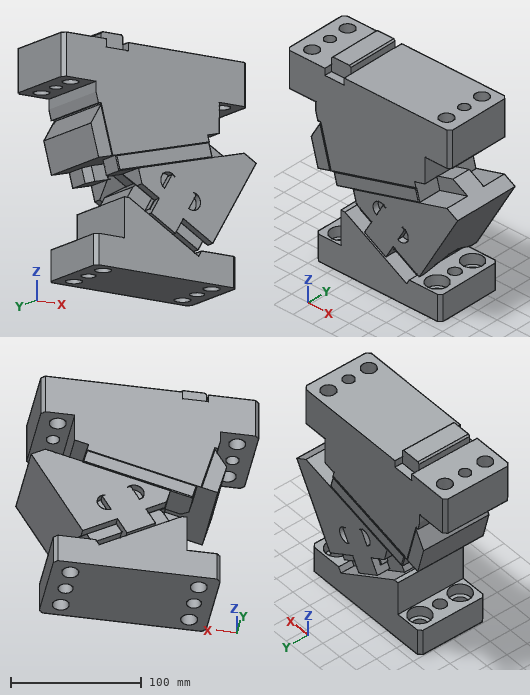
import cadquery as cq
import math


DEPTH = 65.0
HALF_DEPTH = DEPTH / 2
CORNER_CHAMFER = 3.0
HOLE_INSET = 15.0
SCREW_Y = 20.0
GUIDE_ANGLE = 15.0
RAMP_ANGLE = 30.0
EDGE_BREAK = 0.8

BASE_LENGTH = 130.0
BASE_HEIGHT = 25.0
BLOCK_X = 26.2
CREST_HEIGHT = 57.4
RAMP_X, RAMP_Z = 34.1, 55.3
RAMP_LENGTH = 70.0
STEM_HALF_WIDTH = 19.5
HEAD_HALF_WIDTH = 25.7
HEAD_UNDERSIDE = 8.0
HEAD_SIDE_TOP = 16.9
RIDGE_HALF_WIDTH = 5.2
ROOF_ANGLE = 30.0
ROOF_SLOPE = math.tan(math.radians(ROOF_ANGLE))
RIDGE_HEIGHT = HEAD_SIDE_TOP + (HEAD_HALF_WIDTH - RIDGE_HALF_WIDTH) * ROOF_SLOPE
LEAD_IN_START = 17.5
LEAD_IN_ANGLE = 25.0
DRIVER_SCREW_DIA = 13.0
DRIVER_COUNTERBORE_DIA = 20.0
DRIVER_COUNTERBORE_DEPTH = 10.0
DRIVER_DOWEL_DIA = 11.5

HOLDER_X = -30.0
HOLDER_LENGTH = 169.7
HOLDER_TOP = 180.0
FLANGE_BOTTOM = 145.0
NECK_LEFT, NECK_RIGHT = 0.2, 113.8
GUIDE_X, GUIDE_Z = 15.5, 88.5
NECK_FACE_HEIGHT = 41.8
NECK_LEDGE = 2.5
NECK_STEP = 5.5
HOLDER_SCREW_DIA = 13.0
HOLDER_DOWEL_DIA = 10.1
STOP_THICKNESS = 13.5
STOP_OUTER_HEIGHT = 27.2
PLATE_START = 3.0
PLATE_LENGTH = 89.0
PLATE_END = PLATE_START + PLATE_LENGTH
PLATE_THICKNESS = 12.4
PLATE_LEAD_CHAMFER = 5.5
KEY_X = 9.8
KEY_WIDTH = 20.0
KEY_LENGTH = 50.2
KEY_BOTTOM = 173.5
KEY_TOP = 187.5
KEY_CHAMFER = 1.5

CORE_HALF_WIDTH = 9.2
SLIDE_END = 21.2
SLIDE_FACE = 75.2
SLIDE_TOP = 97.0
TONGUE_START, TONGUE_END = 18.2, 43.9
TONGUE_TOP = 40.7
TONGUE_CLEARANCE = 2.0
LIP_HALF_GAP = 20.2
TONGUE_THICKNESS = 5.8
POCKET_RADIUS = 7.1
POCKET_HEIGHT = 34.1


def guide_point(along, above):
    """X and Z of a point in the guide frame."""
    a = math.radians(GUIDE_ANGLE)
    return (GUIDE_X + along * math.cos(a) - above * math.sin(a),
            GUIDE_Z + along * math.sin(a) + above * math.cos(a))


def ramp_point(along, above):
    """X and Z of a point in the ramp frame."""
    a = math.radians(RAMP_ANGLE)
    return (RAMP_X + along * math.cos(a) + above * math.sin(a),
            RAMP_Z - along * math.sin(a) + above * math.cos(a))


def ramp_coordinates(x, z):
    """Distances along and above the ramp of a point given by X and Z."""
    a = math.radians(RAMP_ANGLE)
    dx, dz = x - RAMP_X, z - RAMP_Z
    return dx * math.cos(a) - dz * math.sin(a), dx * math.sin(a) + dz * math.cos(a)


def slab(points, y_min, y_max):
    """Outline in X and Z, extruded from y_min to y_max."""
    return cq.Workplane("XZ", origin=(0, y_min, 0)).polyline(points).close().extrude(y_min - y_max)


def full_slab(points):
    return slab(points, -HALF_DEPTH, HALF_DEPTH)


def ramp_prism(section, start, end):
    """Section in Y and height above the ramp, extruded along the ramp."""
    a = math.radians(RAMP_ANGLE)
    x, z = ramp_point(start, 0)
    plane = cq.Plane(origin=(x, 0, z), xDir=(0, 1, 0), normal=(math.cos(a), 0, -math.sin(a)))
    return cq.Workplane(plane).polyline(section).close().extrude(end - start)


def flange(x, length, bottom, top):
    """Full-depth block with chamfered upright corners."""
    return (cq.Workplane("XY", origin=(x + length / 2, 0, bottom))
            .rect(length, DEPTH)
            .extrude(top - bottom)
            .edges("|Z")
            .chamfer(CORNER_CHAMFER))


def flange_holes(x, length, top):
    """Workplane on a flange top with its screw places, and one with its dowel places."""
    ends = (x + HOLE_INSET, x + length - HOLE_INSET)
    top_plane = cq.Workplane("XY", origin=(0, 0, top))
    screws = top_plane.pushPoints([(end, side * SCREW_Y) for end in ends for side in (-1, 1)])
    dowels = top_plane.pushPoints([(end, 0) for end in ends])
    return screws, dowels


def roof_height(y):
    """Height of the rail roof above the ramp, beside the flat ridge."""
    return HEAD_SIDE_TOP + (HEAD_HALF_WIDTH - y) * ROOF_SLOPE


def mirrored(half_section):
    """Section made of the given +Y points and their mirror images."""
    return half_section + [(-y, height) for y, height in reversed(half_section)]


def make_rail():
    stem_section = mirrored([
        (STEM_HALF_WIDTH, 0),
        (STEM_HALF_WIDTH, roof_height(STEM_HALF_WIDTH)),
        (RIDGE_HALF_WIDTH, RIDGE_HEIGHT),
    ])
    head_section = mirrored([
        (HEAD_HALF_WIDTH, HEAD_UNDERSIDE),
        (HEAD_HALF_WIDTH, HEAD_SIDE_TOP),
        (RIDGE_HALF_WIDTH, RIDGE_HEIGHT),
    ])
    stem = ramp_prism(stem_section, 0, RAMP_LENGTH)
    head = ramp_prism(head_section, TONGUE_START, RAMP_LENGTH)
    lead_in_rise = RIDGE_HEIGHT - LEAD_IN_START
    lead_in = full_slab([
        ramp_point(0, LEAD_IN_START),
        ramp_point(0, RIDGE_HEIGHT),
        ramp_point(lead_in_rise * math.tan(math.radians(LEAD_IN_ANGLE)), RIDGE_HEIGHT),
    ])
    return stem.union(head).cut(lead_in)


def make_driver():
    base = flange(0, BASE_LENGTH, 0, BASE_HEIGHT)
    a = math.radians(RAMP_ANGLE)
    crest_x = RAMP_X - (CREST_HEIGHT - RAMP_Z) / math.tan(a)
    ramp_end = ramp_point(RAMP_LENGTH, 0)
    wall_height = (BASE_HEIGHT - ramp_end[1]) / math.cos(a)
    wall_top = ramp_point(RAMP_LENGTH, wall_height)
    block = full_slab([
        (BLOCK_X, 0),
        (BLOCK_X, CREST_HEIGHT),
        (crest_x, CREST_HEIGHT),
        ramp_end,
        (ramp_end[0], 0),
    ])
    ramp_cut = full_slab([
        ramp_point(0, 0),
        ramp_end,
        wall_top,
    ])
    body = base.union(block).cut(ramp_cut).union(make_rail())

    screws, dowels = flange_holes(0, BASE_LENGTH, BASE_HEIGHT)
    body = body.cut(screws.circle(DRIVER_SCREW_DIA / 2).extrude(-BASE_HEIGHT))
    body = body.cut(screws.circle(DRIVER_COUNTERBORE_DIA / 2).extrude(-DRIVER_COUNTERBORE_DEPTH))
    return body.cut(dowels.circle(DRIVER_DOWEL_DIA / 2).extrude(-BASE_HEIGHT))


def make_neck():
    a = math.radians(GUIDE_ANGLE)
    ledge = guide_point(-NECK_LEDGE, NECK_FACE_HEIGHT)
    shoulder_z = ledge[1] + (ledge[0] - NECK_LEFT) / math.tan(a)
    step = guide_point(PLATE_END, NECK_STEP)
    step_z = step[1] + (NECK_RIGHT - step[0]) * math.tan(a)
    return full_slab([
        (NECK_LEFT, FLANGE_BOTTOM),
        (NECK_LEFT, shoulder_z),
        ledge,
        guide_point(0, NECK_FACE_HEIGHT),
        guide_point(0, 0),
        guide_point(PLATE_END, 0),
        step,
        (NECK_RIGHT, step_z),
        (NECK_RIGHT, FLANGE_BOTTOM),
    ])


def make_stop():
    """End plate on the sloping left face of the neck, with its inner side edges broken."""
    stop = full_slab([
        guide_point(0, 0),
        guide_point(-STOP_THICKNESS, 0),
        guide_point(-STOP_THICKNESS, STOP_OUTER_HEIGHT),
        guide_point(0, STOP_OUTER_HEIGHT + STOP_THICKNESS),
    ])
    x, z = guide_point(0, STOP_OUTER_HEIGHT / 2)
    for side in (-1, 1):
        edge = cq.selectors.NearestToPointSelector((x, side * HALF_DEPTH, z))
        stop = stop.edges(edge).chamfer(EDGE_BREAK)
    return stop


def make_guide_plate(side):
    """Guide plate under one side of the neck, its outer edges broken and its inner corner led in."""
    outline = [
        guide_point(PLATE_START, 0),
        guide_point(PLATE_END, 0),
        guide_point(PLATE_END, -PLATE_THICKNESS),
        guide_point(PLATE_START, -PLATE_THICKNESS),
    ]
    y_min, y_max = sorted((side * CORE_HALF_WIDTH, side * HALF_DEPTH))
    x, z = guide_point(PLATE_START, -PLATE_THICKNESS / 2)
    lead_edge = cq.selectors.NearestToPointSelector((x, side * CORE_HALF_WIDTH, z))
    outer_face = ">Y" if side > 0 else "<Y"
    plate = slab(outline, y_min, y_max).edges(lead_edge).chamfer(PLATE_LEAD_CHAMFER)
    return plate.faces(outer_face).edges().chamfer(EDGE_BREAK)


def make_key():
    middle_x = KEY_X + KEY_WIDTH / 2
    key = (cq.Workplane("XY", origin=(middle_x, 0, KEY_BOTTOM))
           .rect(KEY_WIDTH, KEY_LENGTH)
           .extrude(KEY_TOP - KEY_BOTTOM))
    return key.faces(">Z").edges("|Y").chamfer(KEY_CHAMFER)


def make_holder():
    body = flange(HOLDER_X, HOLDER_LENGTH, FLANGE_BOTTOM, HOLDER_TOP)
    screws, dowels = flange_holes(HOLDER_X, HOLDER_LENGTH, HOLDER_TOP)
    flange_height = HOLDER_TOP - FLANGE_BOTTOM
    body = body.cut(screws.circle(HOLDER_SCREW_DIA / 2).extrude(-flange_height))
    body = body.cut(dowels.circle(HOLDER_DOWEL_DIA / 2).extrude(-flange_height))
    key_slot = full_slab([
        (KEY_X, KEY_BOTTOM),
        (KEY_X + KEY_WIDTH, KEY_BOTTOM),
        (KEY_X + KEY_WIDTH, HOLDER_TOP),
        (KEY_X, HOLDER_TOP),
    ])
    body = body.cut(key_slot).union(make_key())
    body = body.union(make_neck()).union(make_stop())
    for side in (-1, 1):
        body = body.union(make_guide_plate(side))
    return body


def slide_outline(guide_height):
    """Outline of the slide up to a height above the guide."""
    a = math.radians(GUIDE_ANGLE + RAMP_ANGLE)
    end_top = guide_point(SLIDE_END, guide_height)
    end_along, end_above = ramp_coordinates(*end_top)
    bottom_along = end_along + (end_above - HEAD_SIDE_TOP) * math.tan(a)
    top_along = end_along + (SLIDE_TOP - end_above) / math.tan(a)
    return [
        ramp_point(bottom_along, HEAD_SIDE_TOP),
        end_top,
        ramp_point(top_along, SLIDE_TOP),
        ramp_point(SLIDE_FACE, SLIDE_TOP),
        ramp_point(SLIDE_FACE, HEAD_SIDE_TOP),
    ]


def make_tongue(side):
    """Return hook on one side: a plate beside the rail with a lip under the rail head."""
    inner_y = HALF_DEPTH - TONGUE_THICKNESS
    section = [
        (side * HALF_DEPTH, TONGUE_CLEARANCE),
        (side * HALF_DEPTH, TONGUE_TOP),
        (side * inner_y, TONGUE_TOP),
        (side * inner_y, HEAD_UNDERSIDE),
        (side * LIP_HALF_GAP, HEAD_UNDERSIDE),
        (side * LIP_HALF_GAP, TONGUE_CLEARANCE),
    ]
    return ramp_prism(section, TONGUE_START, TONGUE_END)


def make_pockets(side):
    """Round pockets centred on both edges of a tongue, which fills half of each."""
    centers = [ramp_point(along, POCKET_HEIGHT) for along in (TONGUE_START, TONGUE_END)]
    return (cq.Workplane("XZ", origin=(0, side * HALF_DEPTH, 0))
            .pushPoints(centers)
            .circle(POCKET_RADIUS)
            .extrude(side * TONGUE_THICKNESS))


def make_slide():
    body = full_slab(slide_outline(-PLATE_THICKNESS))
    core = slab(slide_outline(0), -CORE_HALF_WIDTH, CORE_HALF_WIDTH)
    groove_section = mirrored([
        (HEAD_HALF_WIDTH, HEAD_SIDE_TOP),
        (RIDGE_HALF_WIDTH, RIDGE_HEIGHT),
    ])
    groove = ramp_prism(groove_section, -SLIDE_FACE, 2 * SLIDE_FACE)
    body = body.union(core).cut(groove)
    for side in (-1, 1):
        body = body.cut(make_pockets(side)).union(make_tongue(side))
    return body


driver = make_driver()
holder = make_holder()
slide = make_slide()
result = cq.Compound.makeCompound([driver.solids().val(), holder.solids().val(), slide.solids().val()])